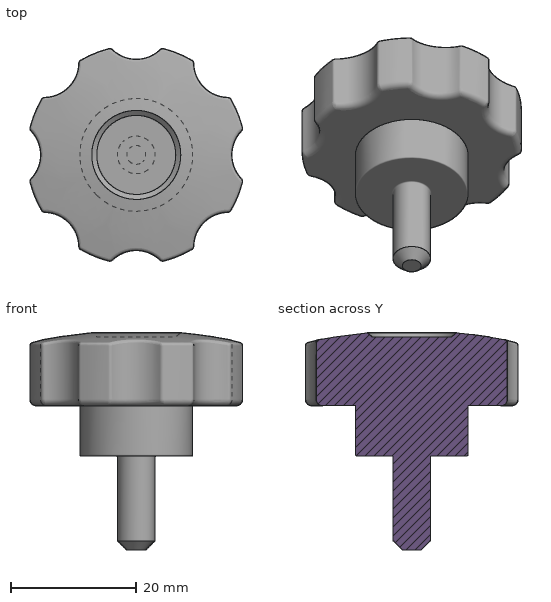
import cadquery as cq
import math

HEAD_RADIUS = 17.5
HEAD_BOTTOM = 8.0
RIM_HEIGHT = 18.0
APEX_HEIGHT = 20.0

FLUTE_COUNT = 8
FLUTE_RADIUS = 5.5
FLUTE_CENTER_RADIUS = 20.75
LOBE_CORNER_FILLET = 0.65
HEAD_TOP_FILLET = 0.5
HEAD_BOTTOM_FILLET = 1.0

RECESS_FLOOR_RADIUS = 6.3
RECESS_RIM_RADIUS = 7.1
RECESS_FLOOR_HEIGHT = 19.0

HUB_RADIUS = 9.0
HUB_FILLET = 0.2

PIN_RADIUS = 3.0
PIN_LENGTH = 15.0
PIN_TIP_CHAMFER = 1.5
PIN_ROOT_FILLET = 0.2

DOME_RISE = APEX_HEIGHT - RIM_HEIGHT
DOME_RADIUS = (HEAD_RADIUS**2 + DOME_RISE**2) / (2 * DOME_RISE)


def dome_height(radius):
    """Height of the dome surface at a distance from the axis."""
    return APEX_HEIGHT - DOME_RADIUS + math.sqrt(DOME_RADIUS**2 - radius**2)


def make_domed_blank():
    """Round head with a domed top, turned about Z."""
    middle_radius = HEAD_RADIUS / 2
    profile = (
        cq.Workplane("XZ")
        .moveTo(0, HEAD_BOTTOM)
        .lineTo(HEAD_RADIUS, HEAD_BOTTOM)
        .lineTo(HEAD_RADIUS, RIM_HEIGHT)
        .threePointArc((middle_radius, dome_height(middle_radius)), (0, APEX_HEIGHT))
        .close()
    )
    return profile.revolve(360, (0, 0, 0), (0, 1, 0))


def make_head():
    """Head with finger flutes and rounded edges."""
    flutes = (
        cq.Workplane("XY", origin=(0, 0, HEAD_BOTTOM))
        .polarArray(FLUTE_CENTER_RADIUS, 0, 360, FLUTE_COUNT)
        .circle(FLUTE_RADIUS)
        .extrude(APEX_HEIGHT - HEAD_BOTTOM)
    )
    head = make_domed_blank().cut(flutes)
    head = head.edges("|Z").fillet(LOBE_CORNER_FILLET)
    head = head.faces("<Z").edges().fillet(HEAD_BOTTOM_FILLET)
    return head.faces(">Z").edges().fillet(HEAD_TOP_FILLET)


def make_recess():
    """Cutter for the recess; its wall meets the dome at the rim radius."""
    recess_rim_height = dome_height(RECESS_RIM_RADIUS)
    profile = (
        cq.Workplane("XZ")
        .moveTo(0, RECESS_FLOOR_HEIGHT)
        .lineTo(RECESS_FLOOR_RADIUS, RECESS_FLOOR_HEIGHT)
        .lineTo(RECESS_RIM_RADIUS, recess_rim_height)
        .lineTo(RECESS_RIM_RADIUS, APEX_HEIGHT)
        .lineTo(0, APEX_HEIGHT)
        .close()
    )
    return profile.revolve(360, (0, 0, 0), (0, 1, 0))


def make_hub():
    """Cylindrical hub with a small fillet on its lower edge."""
    hub = cq.Workplane("XY").circle(HUB_RADIUS).extrude(HEAD_BOTTOM)
    return hub.faces("<Z").edges().fillet(HUB_FILLET)


def make_hub_with_pin():
    """Hub carrying the pin, with a chamfered tip and a filleted root."""
    pin = cq.Workplane("XY").circle(PIN_RADIUS).extrude(-PIN_LENGTH)
    pin = pin.faces("<Z").edges().chamfer(PIN_TIP_CHAMFER)
    hub_with_pin = make_hub().union(pin)
    hub_end_edges = hub_with_pin.faces(cq.selectors.NearestToPointSelector((0, 0, 0))).edges()
    pin_root = hub_end_edges.edges(cq.selectors.RadiusNthSelector(0))
    return pin_root.fillet(PIN_ROOT_FILLET)


result = make_head().cut(make_recess()).union(make_hub_with_pin())